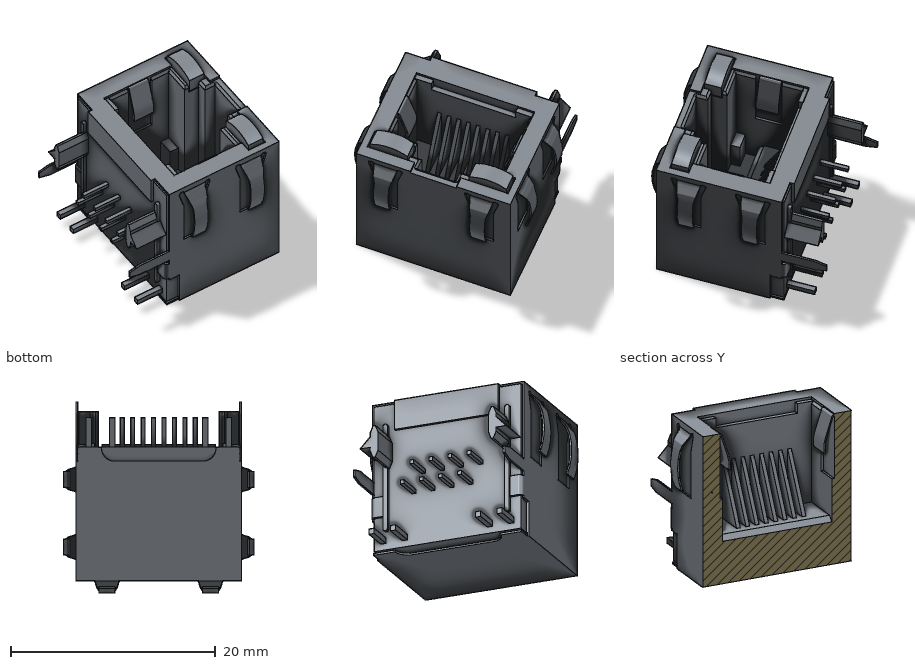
import cadquery as cq


WIDTH = 16.2
HALF = WIDTH / 2
HEIGHT = 15.8
BACK_Y = 13.05
SHEET = 0.2
TOP_SHEET = 0.25
SHIELD_EDGE_Y = 0.17

HOUSING_HALF = 7.84
HOUSING_BOTTOM = 0.37
HOUSING_TOP = HEIGHT - TOP_SHEET
SHIELD_INNER_HALF = 7.92
EDGE_GAP_DEPTH = 0.45
CORNER_CUT_Y = 1.365
CORNER_CUT_TOP = 3.61
PLATE_NOTCH_HALF = 5.6
PLATE_NOTCH_RADIUS = 1.3

CAVITY_HALF = 5.95
CAVITY_FRONT_Y = 2.54
CAVITY_FLOOR = 3.0
CAVITY_CHAMFER = 0.25
LATCH_SHOULDER_Y = 9.42
LATCH_HALF = 3.15
LATCH_STEP_Y = 11.05
KEY_HALF = 2.02
KEY_BACK_Y = 12.24
LEDGE_HALF = 4.43
LEDGE_DROP = 1.0
COMB_TOP = 5.0
COMB_BACK_Y = 7.05
COMB_SLOPE = 0.51
STOP_HALF_GAP = 4.26
STOP_FRONT_Y = 8.47
STOP_TOP = 6.0

OPENING_HALF = CAVITY_HALF + CAVITY_CHAMFER
OPENING_FRONT_Y = 2.01
LED_WINDOW_HALF = 7.42
LED_WINDOW_FRONT_Y = 9.93
LED_WINDOW_BACK_Y = 11.91
BACK_NOTCH_HALF = 2.42

LENS_X = 5.21
LENS_WIDTH = 3.96
LENS_FRONT_Y = 10.04
LENS_BACK_Y = 11.78
LENS_SEAT_Z = 14.7
LENS_SHOULDER_Z = 16.18
LENS_TOP_Z = 16.72

CONTACT_COUNT = 8
CONTACT_PITCH = 1.02
CONTACT_WIDTH = 0.4
CONTACT_TIP_Y = 5.74
CONTACT_HIGH_Z = 11.0
PIN_END_Y = -2.89
UPPER_PIN_Z = 7.95
LOWER_PIN_Z = 6.0
LED_PIN_WIDTH = 0.56
LED_PIN_Z = 1.33
LED_PIN_XS = (4.54, 6.84)
PIN_ROOT = 0.5

FLANGE_HALF = 5.54
FLANGE_BOTTOM = 12.74
FLANGE_Y = -0.29
RIB_X = 6.5
RIB_WIDTH = 0.48
RIB_BOTTOM = 2.23
RIB_TOP = 13.42
RIB_Y = -0.36
PEG_X = 6.31
PEG_END_Y = -3.47
PEG_MID_Z = 10.47
PEG_HALF_HEIGHT = 1.66
PEG_SIDE_HALF_HEIGHT = 0.97
PEG_HALF_WIDTH = 0.41
PEG_TIP_HALF_WIDTH = 0.12
WING_TIP_X = 7.8
WING_BOTTOM = 9.91
WING_TOP = 11.02
FOLD_INNER_X = 6.78
FOLD_BOTTOM = 3.81
FOLD_TOP = 5.9
FOLD_RADIUS = 0.44
TAIL_MID_Z = 7.04
TAIL_HALF = 0.64
TAIL_TIP_HALF = 0.34
TAIL_TAPER_Y = -3.26
TAIL_END_Y = -4.44

SIDE_SPRING_YS = (3.15, 9.75)
BACK_SPRING_X = 5.06
SPRING_REACH = 1.21
SPRING_SHEET = 0.18
SPRING_ROOT_Z = 15.11
SPRING_KNEE_Z = 14.53
SPRING_ARC_Z = 14.0
SPRING_END_Z = 9.1
SPRING_PEAK_Z = (SPRING_ARC_Z + SPRING_END_Z) / 2
KNEE_OUT = 0.35
ROOT_CURVE_OUT = 0.12
BOW_OUT = 0.76
FINGER_HALF = 0.78
FINGER_ROOT_HALF = 1.25
FLARE_Z = 13.25
SLOT_HALF = 1.28
SLOT_BOTTOM = 8.42
SLOT_END_HALF = 1.51
SLOT_END_Z = 15.0
SLOT_END_RADIUS = 0.28

TAB_Y0 = 4.8
TAB_Y1 = 7.07
TAB_SLOT_Y0 = 4.71
TAB_SLOT_Y1 = 7.44
TAB_SLOT_BOTTOM = 9.0
TAB_TOP = 15.7
TAB_BEND_X = 5.9
TAB_BEND_Z = 15.4
TAB_KNEE_X = 5.24
TAB_KNEE_Z = 13.4
TAB_END_X = 5.07
TAB_ARC_END_Z = 12.7
TAB_END_Z = 11.8


def block(x0, x1, y0, y1, z0, z1):
    """Box between two opposite corners."""
    return cq.Workplane("XY").box(x1 - x0, y1 - y0, z1 - z0, centered=False).translate((x0, y0, z0))


def both_sides(shape):
    """The shape together with its mirror image across X = 0."""
    return shape.union(shape.mirror("YZ"))


def mirrored_outline(right_points):
    """Closed outline from the points of its +X half, listed in order."""
    return right_points + [(-x, y) for x, y in reversed(right_points)]


def extrude_y(sketch_on_xz, y_end, y_start):
    """Extrude an XZ profile from y_start down to y_end."""
    return sketch_on_xz.extrude(y_start - y_end).translate((0, y_start, 0))


def make_body():
    shield = block(-HALF, HALF, SHIELD_EDGE_Y, BACK_Y, 0, HEIGHT)
    housing = block(-HOUSING_HALF, HOUSING_HALF, 0, BACK_Y - SHEET, HOUSING_BOTTOM, HOUSING_TOP)
    flange = block(-FLANGE_HALF, FLANGE_HALF, FLANGE_Y, SHIELD_EDGE_Y, FLANGE_BOTTOM, HEIGHT)
    body = shield.union(housing).union(flange)

    edge_gap = block(
        HOUSING_HALF, SHIELD_INNER_HALF, 0, SHIELD_EDGE_Y + EDGE_GAP_DEPTH, HOUSING_BOTTOM, HOUSING_TOP
    )
    corner_cut = block(HOUSING_HALF, HALF, 0, CORNER_CUT_Y, 0, CORNER_CUT_TOP)
    bottom_gap = block(-HALF, HALF, 0, CORNER_CUT_Y, 0, HOUSING_BOTTOM)
    inner_gap = block(
        -SHIELD_INNER_HALF, SHIELD_INNER_HALF, 0, CORNER_CUT_Y + EDGE_GAP_DEPTH, SHEET, HOUSING_BOTTOM
    )
    bottom_plate = block(-SHIELD_INNER_HALF, SHIELD_INNER_HALF, 0, CORNER_CUT_Y, 0, SHEET)
    plate_notch = (
        block(-PLATE_NOTCH_HALF, PLATE_NOTCH_HALF, 0, CORNER_CUT_Y, 0, SHEET)
        .edges("|Z and >Y")
        .fillet(PLATE_NOTCH_RADIUS)
    )
    body = body.cut(both_sides(edge_gap)).cut(both_sides(corner_cut)).cut(bottom_gap).cut(inner_gap)
    return body.union(bottom_plate.cut(plate_notch))


def make_cavity():
    outline = mirrored_outline([
        (CAVITY_HALF, CAVITY_FRONT_Y),
        (CAVITY_HALF, LATCH_SHOULDER_Y),
        (LATCH_HALF, LATCH_SHOULDER_Y),
        (LATCH_HALF, LATCH_STEP_Y),
        (KEY_HALF, LATCH_STEP_Y),
        (KEY_HALF, KEY_BACK_Y),
    ])
    depth = HOUSING_TOP - CAVITY_FLOOR
    pocket = cq.Workplane("XY", origin=(0, 0, CAVITY_FLOOR)).polyline(outline).close().extrude(depth)
    flare = (
        cq.Workplane("XY", origin=(0, 0, HOUSING_TOP - CAVITY_CHAMFER))
        .polyline(outline)
        .close()
        .extrude(CAVITY_CHAMFER, taper=-45)
    )
    front_lip = block(
        -OPENING_HALF, OPENING_HALF, 0, CAVITY_FRONT_Y, HOUSING_TOP - CAVITY_CHAMFER, HOUSING_TOP
    )
    front_ledge = block(
        -LEDGE_HALF, LEDGE_HALF, OPENING_FRONT_Y, CAVITY_FRONT_Y, HOUSING_TOP - LEDGE_DROP, HOUSING_TOP
    )
    tab_slot = block(CAVITY_HALF, OPENING_HALF, TAB_SLOT_Y0, TAB_SLOT_Y1, TAB_SLOT_BOTTOM, HOUSING_TOP)
    return pocket.union(flare.cut(front_lip)).union(front_ledge).union(both_sides(tab_slot))


def make_top_opening():
    outline = mirrored_outline([
        (OPENING_HALF, OPENING_FRONT_Y),
        (OPENING_HALF, LED_WINDOW_FRONT_Y),
        (LED_WINDOW_HALF, LED_WINDOW_FRONT_Y),
        (LED_WINDOW_HALF, LED_WINDOW_BACK_Y),
        (BACK_NOTCH_HALF, LED_WINDOW_BACK_Y),
        (BACK_NOTCH_HALF, BACK_Y),
    ])
    plate = cq.Workplane("XY", origin=(0, 0, HOUSING_TOP)).polyline(outline).close().extrude(TOP_SHEET)
    lens_seat = block(
        LATCH_HALF, LED_WINDOW_HALF, LED_WINDOW_FRONT_Y, LED_WINDOW_BACK_Y, LENS_SEAT_Z, HEIGHT
    )
    return plate.union(both_sides(lens_seat))


def make_lens():
    half = LENS_WIDTH / 2
    profile = (
        cq.Workplane("XZ")
        .moveTo(LENS_X - half, LENS_SEAT_Z)
        .lineTo(LENS_X + half, LENS_SEAT_Z)
        .lineTo(LENS_X + half, LENS_SHOULDER_Z)
        .threePointArc((LENS_X, LENS_TOP_Z), (LENS_X - half, LENS_SHOULDER_Z))
        .close()
    )
    return extrude_y(profile, LENS_FRONT_Y, LENS_BACK_Y)


def make_comb():
    """Ramped block at the cavity floor that carries the contacts."""
    profile = [
        (CAVITY_FRONT_Y, CAVITY_FLOOR),
        (COMB_BACK_Y, CAVITY_FLOOR),
        (COMB_BACK_Y, COMB_TOP - COMB_SLOPE),
        (COMB_BACK_Y - COMB_SLOPE, COMB_TOP),
        (CAVITY_FRONT_Y, COMB_TOP),
    ]
    return cq.Workplane("YZ").polyline(profile).close().extrude(CAVITY_HALF, both=True)


def make_contact(x):
    """Sloping contact, highest at the front wall of the cavity."""
    profile = [
        (CAVITY_FRONT_Y, COMB_TOP),
        (CONTACT_TIP_Y, COMB_TOP),
        (CAVITY_FRONT_Y, CONTACT_HIGH_Z),
    ]
    wedge = cq.Workplane("YZ").polyline(profile).close().extrude(CONTACT_WIDTH / 2, both=True)
    return wedge.translate((x, 0, 0))


def make_pin(x, z, width):
    half = width / 2
    return block(x - half, x + half, PIN_END_Y, PIN_ROOT, z - half, z + half)


def make_rib():
    length = RIB_TOP - RIB_BOTTOM
    profile = cq.Workplane("XZ").center(RIB_X, RIB_BOTTOM + length / 2).slot2D(length, RIB_WIDTH, 90)
    return extrude_y(profile, RIB_Y, PIN_ROOT)


def make_peg():
    """Board peg: an elongated octagon with a triangular wing pointing outward."""
    octagon = [
        (PEG_X + sx * width, PEG_MID_Z + sz * height)
        for sx, sz, width, height in (
            (-1, 1, PEG_TIP_HALF_WIDTH, PEG_HALF_HEIGHT),
            (1, 1, PEG_TIP_HALF_WIDTH, PEG_HALF_HEIGHT),
            (1, 1, PEG_HALF_WIDTH, PEG_SIDE_HALF_HEIGHT),
            (1, -1, PEG_HALF_WIDTH, PEG_SIDE_HALF_HEIGHT),
            (1, -1, PEG_TIP_HALF_WIDTH, PEG_HALF_HEIGHT),
            (-1, -1, PEG_TIP_HALF_WIDTH, PEG_HALF_HEIGHT),
            (-1, -1, PEG_HALF_WIDTH, PEG_SIDE_HALF_HEIGHT),
            (-1, 1, PEG_HALF_WIDTH, PEG_SIDE_HALF_HEIGHT),
        )
    ]
    root_x = PEG_X + PEG_HALF_WIDTH
    wing = [
        (PEG_X, WING_BOTTOM),
        (WING_TIP_X, WING_BOTTOM),
        (root_x, WING_TOP),
        (PEG_X, WING_TOP),
    ]
    core_solid = extrude_y(cq.Workplane("XZ").polyline(octagon).close(), PEG_END_Y, PIN_ROOT)
    wing_solid = extrude_y(cq.Workplane("XZ").polyline(wing).close(), PEG_END_Y, PIN_ROOT)
    return core_solid.union(wing_solid)


def make_fold():
    """Shield tab folded round the housing corner."""
    fold = block(FOLD_INNER_X, HALF, FLANGE_Y, SHIELD_EDGE_Y, FOLD_BOTTOM, FOLD_TOP)
    return fold.edges("|Z and >X and <Y").fillet(FOLD_RADIUS)


def make_tail():
    """Flat tapered solder tail in the plane of the shield side."""
    outline = [
        (PIN_ROOT, TAIL_MID_Z - TAIL_HALF),
        (TAIL_TAPER_Y, TAIL_MID_Z - TAIL_HALF),
        (TAIL_END_Y, TAIL_MID_Z - TAIL_TIP_HALF),
        (TAIL_END_Y, TAIL_MID_Z + TAIL_TIP_HALF),
        (TAIL_TAPER_Y, TAIL_MID_Z + TAIL_HALF),
        (PIN_ROOT, TAIL_MID_Z + TAIL_HALF),
    ]
    return cq.Workplane("YZ", origin=(HALF - SHEET, 0, 0)).polyline(outline).close().extrude(SHEET)


def make_grounding_tab():
    """Shield strip bent inward to a knee that touches the plug."""
    profile = (
        cq.Workplane("XZ")
        .moveTo(OPENING_HALF + SHEET, TAB_TOP)
        .lineTo(OPENING_HALF, TAB_TOP)
        .tangentArcPoint((TAB_BEND_X, TAB_BEND_Z), relative=False)
        .lineTo(TAB_KNEE_X, TAB_KNEE_Z)
        .tangentArcPoint((TAB_END_X, TAB_ARC_END_Z), relative=False)
        .lineTo(TAB_END_X, TAB_END_Z)
        .lineTo(TAB_END_X + SHEET, TAB_END_Z)
        .lineTo(TAB_END_X + SHEET, TAB_ARC_END_Z)
        .lineTo(TAB_KNEE_X + SHEET, TAB_KNEE_Z)
        .lineTo(TAB_BEND_X + SHEET, TAB_BEND_Z)
        .close()
    )
    return extrude_y(profile, TAB_Y0, TAB_Y1)


def make_spring_slot():
    """Slot round a finger, in a wall whose outer face is X = 0 and faces +X."""
    wall = cq.Workplane("YZ", origin=(-SHEET, 0, 0))
    upright = [
        (-SLOT_HALF, SLOT_BOTTOM),
        (SLOT_HALF, SLOT_BOTTOM),
        (SLOT_HALF, FLARE_Z),
        (SLOT_END_HALF + SLOT_END_RADIUS, SLOT_END_Z),
        (FINGER_ROOT_HALF, SPRING_ROOT_Z),
        (-FINGER_ROOT_HALF, SPRING_ROOT_Z),
        (-SLOT_END_HALF - SLOT_END_RADIUS, SLOT_END_Z),
        (-SLOT_HALF, FLARE_Z),
    ]
    ends = wall.pushPoints([(-SLOT_END_HALF, SLOT_END_Z), (SLOT_END_HALF, SLOT_END_Z)])
    return wall.polyline(upright).close().extrude(SHEET).union(ends.circle(SLOT_END_RADIUS).extrude(SHEET))


def make_spring_finger():
    """Bowed finger in the same local position as its slot."""
    inner = -SPRING_SHEET
    strip = (
        cq.Workplane("XZ")
        .moveTo(inner, SPRING_ROOT_Z)
        .lineTo(0, SPRING_ROOT_Z)
        .threePointArc((ROOT_CURVE_OUT, (SPRING_ROOT_Z + SPRING_KNEE_Z) / 2), (KNEE_OUT, SPRING_KNEE_Z))
        .lineTo(BOW_OUT, SPRING_ARC_Z)
        .threePointArc((SPRING_REACH, SPRING_PEAK_Z), (BOW_OUT, SPRING_END_Z))
        .lineTo(BOW_OUT + inner, SPRING_END_Z)
        .threePointArc((SPRING_REACH + inner, SPRING_PEAK_Z), (BOW_OUT + inner, SPRING_ARC_Z))
        .lineTo(KNEE_OUT + inner, SPRING_KNEE_Z)
        .close()
        .extrude(FINGER_ROOT_HALF, both=True)
    )
    outline = [
        (-FINGER_HALF, SPRING_END_Z),
        (FINGER_HALF, SPRING_END_Z),
        (FINGER_HALF, FLARE_Z),
        (FINGER_ROOT_HALF, SPRING_ROOT_Z),
        (-FINGER_ROOT_HALF, SPRING_ROOT_Z),
        (-FINGER_HALF, FLARE_Z),
    ]
    blank = cq.Workplane("YZ", origin=(inner, 0, 0)).polyline(outline).close()
    return strip.intersect(blank.extrude(2 * SPRING_REACH))


def at_spring_places(shape):
    """Copies of a spring shape on both side walls and on the back wall."""
    on_back = shape.rotate((0, 0, 0), (0, 0, 1), 90)
    copies = both_sides(on_back.translate((BACK_SPRING_X, BACK_Y, 0)))
    for y in SIDE_SPRING_YS:
        copies = copies.union(both_sides(shape.translate((HALF, y, 0))))
    return copies


part = make_body().cut(make_cavity()).cut(make_top_opening())
part = part.cut(at_spring_places(make_spring_slot())).union(at_spring_places(make_spring_finger()))

for feature in (
    make_lens(),
    make_rib(),
    make_peg(),
    make_fold(),
    make_tail(),
    make_grounding_tab(),
    block(STOP_HALF_GAP, CAVITY_HALF, STOP_FRONT_Y, LATCH_SHOULDER_Y, CAVITY_FLOOR, STOP_TOP),
):
    part = part.union(both_sides(feature))

part = part.union(make_comb())
for index in range(CONTACT_COUNT):
    contact_x = (index - (CONTACT_COUNT - 1) / 2) * CONTACT_PITCH
    pin_z = UPPER_PIN_Z if index % 2 else LOWER_PIN_Z
    part = part.union(make_contact(contact_x)).union(make_pin(contact_x, pin_z, CONTACT_WIDTH))
for led_pin_x in LED_PIN_XS:
    part = part.union(both_sides(make_pin(led_pin_x, LED_PIN_Z, LED_PIN_WIDTH)))

result = part